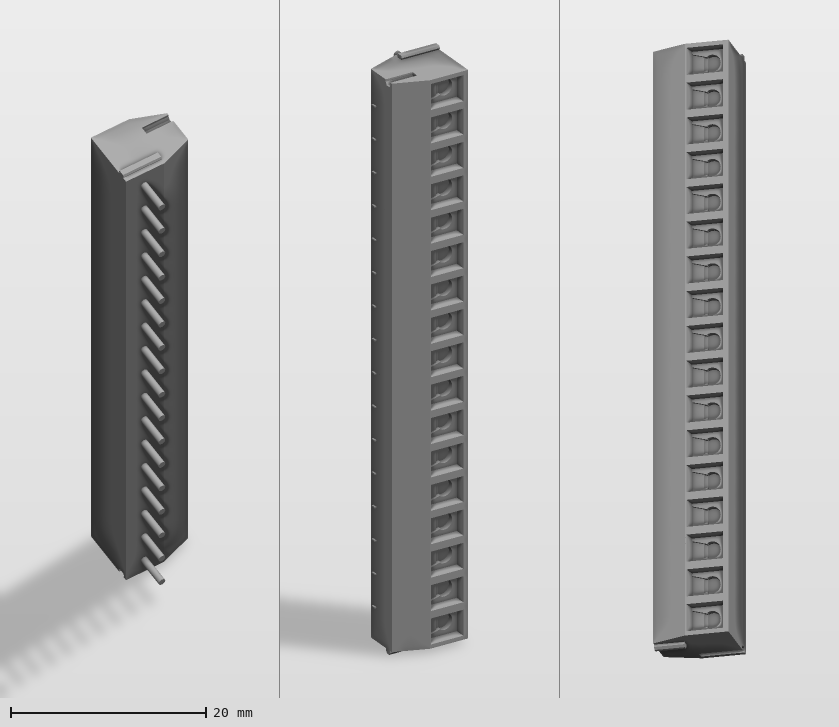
import cadquery as cq


pole_count = 17
row_length = 60.9
pole_pitch = row_length / (pole_count - 1)

total_width = 10.3
total_depth = 8.55
total_length = 65.8

hook_height = 0.45
hook_x = 5.9
hook_neck_half_width = 0.3
hook_half_width = 0.45
hook_tip_half_width = 0.3
key_height = 0.5
key_x = 2.1
key_half_width = 0.4
key_tip_half_width = 0.2
key_length = 3.2
groove_clearance = 0.05

marker_height = 0.2
body_width = 6.85
body_depth = total_depth - marker_height
body_length = total_length - hook_height - key_height
shoulder_y = 4.6
nose_inset = 1.4
first_pole_z = (body_length - row_length) / 2
pole_heights = [first_pole_z + i * pole_pitch for i in range(pole_count)]

pin_diameter = 0.8
pin_y = 2.2

pocket_height = 2.95
pocket_depth = 1.25
pocket_near_y = 0.6
pocket_far_y = 4.5
pocket_floor_far_y = 4.2
wall_slope = (pocket_far_y - pocket_floor_far_y) / pocket_depth

channel_depth = 0.25
channel_far_y = pocket_far_y - wall_slope * (pocket_depth + channel_depth)
channel_wide_half = 1.2
channel_narrow_half = 0.7
step_y = 2.95
step_depth = 0.45
hole_flat_y = 2.55
hole_depth = 0.65
hole_diameter = 1.9
hole_y = 2.1

marker_x = 4.7
marker_width = 0.6
marker_thickness = 0.1


def make_body():
    outline = [
        (0, 0),
        (body_width, 0),
        (body_width, shoulder_y),
        (body_width - nose_inset, body_depth),
        (nose_inset, body_depth),
        (0, shoulder_y),
    ]
    return cq.Workplane("XY").polyline(outline).close().extrude(body_length)


def make_rail(half_profile, center_x, base_z, direction, start_y, end_y):
    """Rail along Y, symmetric about center_x; half_profile lists (half width, height)."""
    right = [(center_x + w, base_z + direction * h) for w, h in half_profile]
    left = [(center_x - w, base_z + direction * h) for w, h in reversed(half_profile)]
    rail = cq.Workplane("XZ").polyline(right + left).close().extrude(start_y - end_y)
    return rail.translate((0, start_y, 0))


def make_hook(base_z, clearance=0):
    profile = [
        (hook_neck_half_width + clearance, 0),
        (hook_half_width + clearance, hook_height / 2),
        (hook_tip_half_width + clearance, hook_height + clearance),
    ]
    return make_rail(profile, hook_x, base_z, 1, 0, shoulder_y)


def make_key(base_z, clearance=0):
    profile = [
        (key_half_width + clearance, 0),
        (key_half_width + clearance, key_height / 2),
        (key_tip_half_width + clearance, key_height + clearance),
    ]
    return make_rail(profile, key_x, base_z, -1, body_depth - key_length, body_depth)


def make_pins():
    points = [(pin_y, z) for z in pole_heights]
    pins = cq.Workplane("YZ").pushPoints(points).circle(pin_diameter / 2)
    return pins.extrude(total_width - body_width).translate((body_width, 0, 0))


def make_markers():
    centers = [(marker_x, z + pole_pitch / 2) for z in pole_heights[:-1]]
    markers = cq.Workplane("XZ").pushPoints(centers).rect(marker_width, marker_thickness)
    return markers.extrude(-marker_height).translate((0, body_depth, 0))


def make_channel():
    """Wire channel: it continues the sloping far wall and has a step beside the hole."""
    outline = [
        (pocket_floor_far_y, channel_wide_half),
        (hole_flat_y, channel_narrow_half),
        (hole_flat_y, -channel_narrow_half),
        (pocket_floor_far_y, -channel_wide_half),
    ]
    section = [
        (0, pocket_floor_far_y),
        (channel_depth, channel_far_y),
        (channel_depth, step_y),
        (step_depth, step_y),
        (step_depth, hole_flat_y),
        (0, hole_flat_y),
    ]
    prism = cq.Workplane("YZ").polyline(outline).close().extrude(step_depth)
    profile = cq.Workplane("XY").polyline(section).close().extrude(pocket_height / 2, both=True)
    return prism.intersect(profile)


def make_hole():
    """Round hole cut off flat on the side of the channel."""
    disc = cq.Workplane("YZ").center(hole_y, 0).circle(hole_diameter / 2).extrude(hole_depth)
    below_flat = cq.Workplane("YZ").rect(2 * hole_flat_y, pocket_height).extrude(hole_depth)
    return disc.intersect(below_flat)


def make_pocket():
    """Cutter for one wire pocket, centred on Z = 0."""
    section = [
        (0, pocket_near_y),
        (pocket_depth, pocket_near_y),
        (pocket_depth, pocket_floor_far_y),
        (0, pocket_far_y),
    ]
    opening = cq.Workplane("XY").polyline(section).close().extrude(pocket_height / 2, both=True)
    floor_recesses = make_channel().union(make_hole())
    return opening.union(floor_recesses.translate((pocket_depth, 0, 0)))


body = make_body()
body = body.cut(make_hook(0, groove_clearance)).cut(make_key(body_length, groove_clearance))
pocket = make_pocket()
for pole_z in pole_heights:
    body = body.cut(pocket.translate((0, 0, pole_z)))

result = (
    body.union(make_hook(body_length))
    .union(make_key(0))
    .union(make_pins())
    .union(make_markers())
)